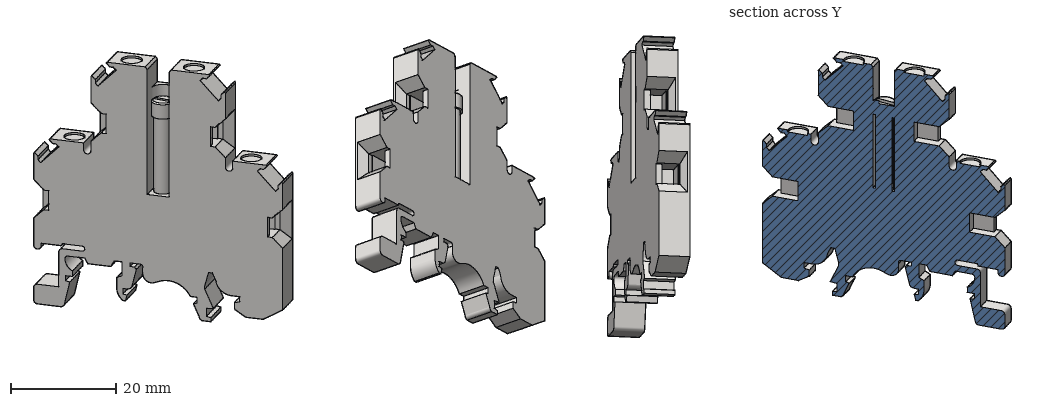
import cadquery as cq

WIDTH = 50.0
THICKNESS = 6.0
HEIGHT = 50.8
FRONT_Y = -THICKNESS / 2
BACK_Y = THICKNESS / 2
LOWER_HALF = WIDTH / 2

UPPER_HALF = 13.5
LOWER_TOP = 33.85
GROOVE_WIDTH = 1.4
GROOVE_BOTTOM = 31.7

NOTCH_EDGE = 3.35
NOTCH_TIP = (3.1, 0.18)
NOTCH_HOOK_START = 3.8
NOTCH_HOOK_END = 4.5
NOTCH_HOOK_DEPTH = 0.9
NOTCH_CORNER = (5.1, 1.4)

ENTRY_BELOW_TOP = 12.55
MOUTH_HEIGHT = 7.85
THROAT_HEIGHT = 3.95
FUNNEL_DEPTH = 2.1
THROAT_DEPTH = 3.05
MOUTH_BACK_WALL = 0.5
THROAT_BACK_WALL = 1.5
CLAMP_BACK_WALL = 1.75
CLAMP_FRONT_WALL = 1.2

SCREW_Y = -0.2
RECESS_DIAMETER = 4.0
RECESS_DEPTH = 0.4
RECESS_INSET = 7.25

SLOT_WIDTH = 4.35
SLOT_FLOOR = 24.95
SLOT_CHAMFER = (0.4, 0.5)
CRADLE_TOP = 45.7
LINK_SHAFT_DIAMETER = 3.5
LINK_HEAD_BOTTOM = 40.35
LINK_HEAD_TOP = 43.5
LINK_HEAD_CHAMFER = 0.25
DRIVER_SLOT_WIDTH = 0.7
DRIVER_SLOT_DEPTH = 0.6
DRIVER_SLOT_ANGLE = -9

SKIRT_Z = 12.4
LEVER_TOP = 11.85
RELIEF_TOP = 12.85
ARM_UNDERSIDE = 10.45
RAIL_STOP_Z = 9.4
GAP_TOP = 10.6
RAIL_LIP_Z = 6.45

LEVER_X = -19.95
LEVER_PAD_TOP = 4.0
PAD_RADIUS = 0.8


def extrude_profile(profile):
    """Extrude a closed XZ wire through the full thickness."""
    return profile.close().extrude(THICKNESS / 2, both=True)


def box_between(x_range, y_range, z_range):
    """Axis-aligned box from its limits."""
    size = [limits[1] - limits[0] for limits in (x_range, y_range, z_range)]
    corner = (x_range[0], y_range[0], z_range[0])
    return cq.Workplane("XY").box(*size, centered=False).translate(corner)


def cylinder(diameter, bottom, top, x=0):
    """Vertical cylinder in the plane of the screws."""
    base = cq.Workplane("XY", origin=(x, SCREW_Y, bottom))
    return base.circle(diameter / 2).extrude(top - bottom)


def make_housing():
    """Stepped housing with its rail-side underside; the lever, spring leg and claw are part of the outline."""
    profile = (
        cq.Workplane("XZ")
        .moveTo(-UPPER_HALF, HEIGHT)
        .lineTo(-UPPER_HALF, LOWER_TOP)
        .lineTo(-LOWER_HALF, LOWER_TOP)
        .lineTo(-LOWER_HALF, 11.9)
        .threePointArc((-24.25, 11.1), (-23.45, 11.9))
        .lineTo(-23.45, SKIRT_Z)
        .lineTo(-19.45, SKIRT_Z)
        .lineTo(-19.2, RELIEF_TOP)
        .lineTo(-15.25, RELIEF_TOP)
        .threePointArc((-14.75, (RELIEF_TOP + LEVER_TOP) / 2), (-15.25, LEVER_TOP))
        .lineTo(LEVER_X + PAD_RADIUS, LEVER_TOP)
        .radiusArc((LEVER_X, LEVER_TOP - PAD_RADIUS), -PAD_RADIUS)
        .lineTo(LEVER_X, LEVER_PAD_TOP)
        .lineTo(-LOWER_HALF + PAD_RADIUS, LEVER_PAD_TOP)
        .radiusArc((-LOWER_HALF, LEVER_PAD_TOP - PAD_RADIUS), -PAD_RADIUS)
        .lineTo(-LOWER_HALF, PAD_RADIUS)
        .radiusArc((-LOWER_HALF + PAD_RADIUS, 0), -PAD_RADIUS)
        .lineTo(-19.6, 0)
        .radiusArc((-18.8, 0.65), -PAD_RADIUS)
        .lineTo(-17.75, 5.25)
        .lineTo(-18.6, 5.45)
        .lineTo(-18.6, RAIL_LIP_Z)
        .lineTo(-17.15, RAIL_LIP_Z)
        .lineTo(-17.15, 7.55)
        .threePointArc((-18.25, 8.5), (-18.7, 9.8))
        .threePointArc((-18.55, 10.25), (-18.1, ARM_UNDERSIDE))
        .lineTo(-14.75, ARM_UNDERSIDE)
        .lineTo(-14.1, RAIL_STOP_Z)
        .lineTo(-9.5, RAIL_STOP_Z)
        .lineTo(-8.85, GAP_TOP)
        .lineTo(-7.25, GAP_TOP)
        .lineTo(-7.25, 7.8)
        .lineTo(-8.35, 7.3)
        .lineTo(-8.35, 5.3)
        .threePointArc((-8.0, 3.85), (-7.05, 2.8))
        .lineTo(-6.55, 2.8)
        .lineTo(-6.25, 4.0)
        .lineTo(-7.05, 4.15)
        .lineTo(-7.05, 5.25)
        .lineTo(-6.2, 5.3)
        .threePointArc((-5.65, 5.45), (-5.3, 5.85))
        .lineTo(-4.35, 9.45)
        .lineTo(-4.7, 9.9)
        .lineTo(-5.65, 9.9)
        .lineTo(-5.65, GAP_TOP)
        .lineTo(-3.55, GAP_TOP)
        .threePointArc((-3.15, 10.4), (-3.1, 9.95))
        .lineTo(-3.1, 8.65)
        .threePointArc((-2.35, 7.35), (-0.7, 7.2))
        .lineTo(0.3, 7.6)
        .threePointArc((3.95, 7.55), (6.45, 5.3))
        .lineTo(7.75, 5.3)
        .lineTo(7.75, 4.1)
        .lineTo(7.05, 3.9)
        .lineTo(8.25, 1.35)
        .threePointArc((8.5, 0.85), (8.85, 0.65))
        .lineTo(10.55, 0.65)
        .lineTo(10.55, 1.5)
        .lineTo(9.7, 1.7)
        .lineTo(9.7, 3.3)
        .lineTo(11.05, 3.45)
        .lineTo(9.35, 7.15)
        .lineTo(9.35, 7.8)
        .lineTo(10.1, GAP_TOP)
        .lineTo(10.85, GAP_TOP)
        .lineTo(11.55, 9.3)
        .threePointArc((12.65, 7.2), (14.75, RAIL_LIP_Z))
        .lineTo(16.35, RAIL_LIP_Z)
        .lineTo(16.35, 5.4)
        .lineTo(15.3, 5.2)
        .lineTo(15.3, 3.8)
        .lineTo(17.6, 2.45)
        .lineTo(21.1, 2.45)
        .lineTo(LOWER_HALF, 4.85)
        .lineTo(LOWER_HALF, LOWER_TOP)
        .lineTo(UPPER_HALF, LOWER_TOP)
        .lineTo(UPPER_HALF, HEIGHT)
    )
    return extrude_profile(profile)


def make_corner_notch(outer_x, top):
    """Cutter for the notch at a left-hand top corner."""
    half = [
        (NOTCH_EDGE, 0),
        NOTCH_TIP,
        (NOTCH_HOOK_START, NOTCH_HOOK_DEPTH),
        (NOTCH_HOOK_END, NOTCH_HOOK_DEPTH),
        NOTCH_CORNER,
    ]
    mirrored = [(depth, along) for along, depth in reversed(half)]
    points = [(outer_x + inset, top - drop) for inset, drop in [(0, 0)] + half + mirrored]
    return extrude_profile(cq.Workplane("XZ").polyline(points))


def make_wire_entry(outer_x, top):
    """Cutter for a funnel, throat and clamp chamber entered from a left-hand side face."""
    middle = top - ENTRY_BELOW_TOP
    mouth_depth = THICKNESS - MOUTH_BACK_WALL
    throat_depth = THICKNESS - THROAT_BACK_WALL
    funnel = (
        cq.Workplane("YZ", origin=(outer_x, FRONT_Y, middle))
        .center(mouth_depth / 2, 0)
        .rect(mouth_depth, MOUTH_HEIGHT)
        .workplane(offset=FUNNEL_DEPTH)
        .center((throat_depth - mouth_depth) / 2, 0)
        .rect(throat_depth, THROAT_HEIGHT)
        .loft(ruled=True)
    )
    throat_z = (middle - THROAT_HEIGHT / 2, middle + THROAT_HEIGHT / 2)
    throat = box_between(
        (outer_x + FUNNEL_DEPTH, outer_x + THROAT_DEPTH), (FRONT_Y, BACK_Y - THROAT_BACK_WALL), throat_z
    )
    chamber = box_between(
        (outer_x + THROAT_DEPTH, outer_x + RECESS_INSET),
        (FRONT_Y + CLAMP_FRONT_WALL, BACK_Y - CLAMP_BACK_WALL),
        throat_z,
    )
    return funnel.union(throat).union(chamber)


def make_level_cutter(half_width, top):
    """All cuts of one terminal, for the left-hand side."""
    recess = cylinder(RECESS_DIAMETER, top - RECESS_DEPTH, top, RECESS_INSET - half_width)
    cutter = make_corner_notch(-half_width, top)
    return cutter.union(make_wire_entry(-half_width, top)).union(recess)


def make_step_groove():
    """Round-bottomed groove beside the left-hand side of the upper level."""
    radius = GROOVE_WIDTH / 2
    outer_x = -UPPER_HALF - GROOVE_WIDTH
    profile = (
        cq.Workplane("XZ")
        .moveTo(outer_x, LOWER_TOP)
        .lineTo(outer_x, GROOVE_BOTTOM + radius)
        .threePointArc((outer_x + radius, GROOVE_BOTTOM), (-UPPER_HALF, GROOVE_BOTTOM + radius))
        .lineTo(-UPPER_HALF, LOWER_TOP)
    )
    return extrude_profile(profile)


def make_slot():
    """Central slot with chamfered rims; a half-round cradle stays behind the link screw."""
    half = SLOT_WIDTH / 2
    rim_half = half + SLOT_CHAMFER[0]
    rim_bottom = HEIGHT - SLOT_CHAMFER[1]
    slot = extrude_profile(
        cq.Workplane("XZ").polyline(
            [
                (-half, SLOT_FLOOR),
                (half, SLOT_FLOOR),
                (half, rim_bottom),
                (rim_half, HEIGHT),
                (-rim_half, HEIGHT),
                (-half, rim_bottom),
            ]
        )
    )
    cradle = box_between((-half, half), (SCREW_Y, BACK_Y), (SLOT_FLOOR, CRADLE_TOP))
    cradle = cradle.cut(cylinder(SLOT_WIDTH, SLOT_FLOOR, CRADLE_TOP))
    return slot.cut(cradle)


def make_link_screw():
    """Slotted screw standing on the slot floor, its head filling the slot width."""
    head = cylinder(SLOT_WIDTH, LINK_HEAD_BOTTOM, LINK_HEAD_TOP).faces(">Z").chamfer(LINK_HEAD_CHAMFER)
    driver_slot = (
        cq.Workplane("XY", origin=(0, SCREW_Y, LINK_HEAD_TOP))
        .transformed(rotate=(0, 0, DRIVER_SLOT_ANGLE))
        .rect(2 * SLOT_WIDTH, DRIVER_SLOT_WIDTH)
        .extrude(-DRIVER_SLOT_DEPTH)
    )
    shaft = cylinder(LINK_SHAFT_DIAMETER, SLOT_FLOOR, LINK_HEAD_BOTTOM)
    return shaft.union(head.cut(driver_slot))


result = make_housing()
left_cutters = [
    make_level_cutter(UPPER_HALF, HEIGHT),
    make_level_cutter(LOWER_HALF, LOWER_TOP),
    make_step_groove(),
]
for cutter in left_cutters:
    result = result.cut(cutter).cut(cutter.mirror("YZ"))
result = result.cut(make_slot()).union(make_link_screw())